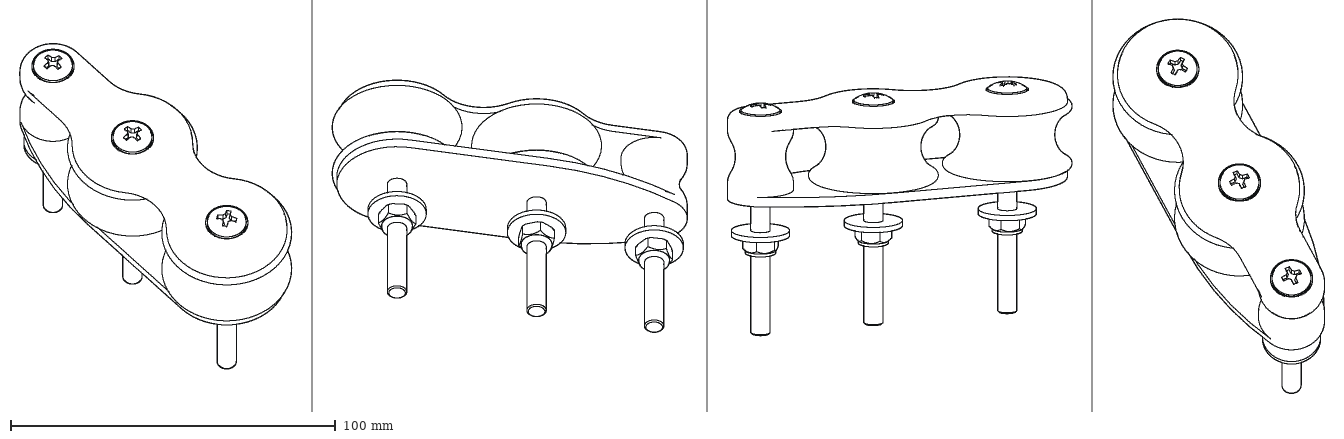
import cadquery as cq
import math

post_radius = 10.2
post_waist_radius = 7.8
roller_radius = 20.0
roller_waist_radius = 14.7
roller_pitch = 43.9
overall_length = 111.2
lobe_radius = 18.6

base_thickness = 3.0
roller_gap = 20.8
cover_thickness = 4.0
cover_fillet = 3.0

roller_clearance = 0.2
rim_radius = 1.1
post_curve_half_height = 8.3
screw_radius = 6.0 / 2
screw_end_z = -42.8
screw_end_chamfer = 0.5
head_radius = 12.0 / 2
head_edge_height = 0.7
head_edge_chamfer = 0.3
head_height = 2.3
head_recess_margin = 0.5
head_recess_depth = 0.6

cross_length = 6.2
cross_width = 1.6
cross_core_size = 3.1
cross_depth = 1.8
cross_wall_angle = 10

washer_radius = 18.0 / 2
washer_top_z = -10.0
washer_thickness = 1.7
nut_flats = 10.0
nut_hex_height = 4.7
nut_chamfer = 1.0
nut_lead_chamfer = 0.5
collar_radius = 9.5 / 2
collar_height = 1.0
collar_fillet = 0.3

roller_2_x = overall_length - post_radius - roller_radius
roller_1_x = roller_2_x - roller_pitch
cover_bottom_z = base_thickness + roller_gap
cover_top_z = cover_bottom_z + cover_thickness
mid_z = base_thickness + roller_gap / 2
nut_top_z = washer_top_z - washer_thickness

fasteners = [
    (0, 0, -1.7),
    (roller_1_x, 0, 30),
    (roller_2_x, 36, -9.5),
]


def make_base():
    """Bottom plate: a wide end tapering to the post through two long arcs."""
    side_radius = (roller_1_x**2 + lobe_radius**2 - post_radius**2) / (2 * (lobe_radius - post_radius))
    side_center_y = lobe_radius - side_radius
    center_distance = side_radius - post_radius
    touch_x = -post_radius * roller_1_x / center_distance
    touch_y = -post_radius * side_center_y / center_distance
    half_angle = math.asin((roller_1_x - touch_x) / side_radius) / 2
    arc_x = roller_1_x - side_radius * math.sin(half_angle)
    arc_y = side_center_y + side_radius * math.cos(half_angle)
    left_end_x = -post_radius
    right_end_x = roller_2_x + lobe_radius
    bevel = math.sqrt(0.5)
    left_angle = (math.pi + math.atan2(touch_y, touch_x)) / 2
    left_mid = (post_radius * math.cos(left_angle), post_radius * math.sin(left_angle))
    right_mid = (roller_2_x + lobe_radius * bevel, lobe_radius * bevel)
    half = (
        cq.Workplane("XY")
        .moveTo(left_end_x, 0)
        .threePointArc(left_mid, (touch_x, touch_y))
        .threePointArc((arc_x, arc_y), (roller_1_x, lobe_radius))
        .lineTo(roller_2_x, lobe_radius)
        .threePointArc(right_mid, (right_end_x, 0))
        .close()
        .extrude(base_thickness)
    )
    return half.union(half.mirror("XZ"))


def make_cover():
    """Top plate: round lobes over the rollers joined by tangent concave necks."""
    half_pitch = roller_pitch / 2
    neck_radius = (half_pitch**2 + post_radius**2 - lobe_radius**2) / (2 * (lobe_radius - post_radius))
    neck_center_y = post_radius + neck_radius
    lobe_share = lobe_radius / (lobe_radius + neck_radius)
    touch_dx = half_pitch * lobe_share
    touch_y = neck_center_y * lobe_share
    neck_start_x = roller_1_x - half_pitch
    neck_mid_x = roller_1_x + half_pitch
    half_angle = math.atan2(half_pitch, neck_center_y) / 2
    arc_x = neck_start_x + neck_radius * math.sin(half_angle)
    arc_y = neck_center_y - neck_radius * math.cos(half_angle)
    outline = (
        cq.Workplane("XY", origin=(0, 0, cover_bottom_z))
        .moveTo(0, post_radius)
        .lineTo(neck_start_x, post_radius)
        .threePointArc((arc_x, arc_y), (roller_1_x - touch_dx, touch_y))
        .threePointArc((roller_1_x, lobe_radius), (roller_1_x + touch_dx, touch_y))
        .threePointArc((neck_mid_x, post_radius), (roller_2_x - touch_dx, touch_y))
        .threePointArc((roller_2_x + lobe_radius, 0), (roller_2_x - touch_dx, -touch_y))
        .threePointArc((neck_mid_x, -post_radius), (roller_1_x + touch_dx, -touch_y))
        .threePointArc((roller_1_x, -lobe_radius), (roller_1_x - touch_dx, -touch_y))
        .threePointArc((arc_x, -arc_y), (neck_start_x, -post_radius))
        .lineTo(0, -post_radius)
        .threePointArc((-post_radius, 0), (0, post_radius))
        .close()
    )
    return outline.extrude(cover_thickness).faces(">Z").edges().fillet(cover_fillet)


def make_post():
    """Waisted post: convex shoulders flow tangentially into a concave waist."""
    shoulder_height = 3.0
    waist_height = post_curve_half_height - shoulder_height
    slope = 2 * math.atan((post_radius - post_waist_radius) / post_curve_half_height)
    shoulder_radius = shoulder_height / math.sin(slope)
    waist_radius = waist_height / math.sin(slope)
    joint_r = post_waist_radius + waist_radius * (1 - math.cos(slope))
    shoulder_mid_r = post_radius - shoulder_radius * (1 - math.cos(slope / 2))
    shoulder_mid_height = post_curve_half_height - shoulder_radius * math.sin(slope / 2)
    post = (
        cq.Workplane("XZ")
        .moveTo(0, base_thickness)
        .lineTo(post_radius, base_thickness)
        .lineTo(post_radius, mid_z - post_curve_half_height)
        .threePointArc((shoulder_mid_r, mid_z - shoulder_mid_height), (joint_r, mid_z - waist_height))
        .threePointArc((post_waist_radius, mid_z), (joint_r, mid_z + waist_height))
        .threePointArc(
            (shoulder_mid_r, mid_z + shoulder_mid_height),
            (post_radius, mid_z + post_curve_half_height),
        )
        .lineTo(post_radius, cover_bottom_z)
        .lineTo(0, cover_bottom_z)
        .close()
        .revolve(360, (0, 0), (0, 1))
    )
    return post.rotate((0, 0, 0), (0, 0, 1), 180)


def make_roller(x):
    """Grooved roller: rounded rims tangent to a circular groove."""
    rim_r = roller_radius - rim_radius
    half_height = roller_gap / 2 - roller_clearance
    rim_height = half_height - rim_radius
    reach = rim_r - roller_waist_radius
    groove_radius = (reach**2 + rim_height**2 - rim_radius**2) / (2 * (reach + rim_radius))
    groove_center_r = roller_waist_radius + groove_radius
    share = rim_radius / (rim_radius + groove_radius)
    touch_r = rim_r + (groove_center_r - rim_r) * share
    touch_height = rim_height * (1 - share)
    return (
        cq.Workplane("XZ")
        .moveTo(0, mid_z - half_height)
        .lineTo(rim_r, mid_z - half_height)
        .threePointArc((roller_radius, mid_z - rim_height), (touch_r, mid_z - touch_height))
        .threePointArc((roller_waist_radius, mid_z), (touch_r, mid_z + touch_height))
        .threePointArc((roller_radius, mid_z + rim_height), (rim_r, mid_z + half_height))
        .lineTo(0, mid_z + half_height)
        .close()
        .revolve(360, (0, 0), (0, 1))
        .translate((x, 0, 0))
    )


def make_head_recess(x):
    """Shallow round recess in the cover around a screw head."""
    return (
        cq.Workplane("XY", origin=(x, 0, cover_top_z))
        .circle(head_radius + head_recess_margin)
        .extrude(-head_recess_depth)
    )


def make_tapered_pocket(length, width, top_z, turn):
    """Rectangular block narrowing downward, one part of a cross recess."""
    return (
        cq.Workplane("XY", origin=(0, 0, top_z))
        .rect(length, width)
        .extrude(-cross_depth, taper=cross_wall_angle)
        .rotate((0, 0, 0), (0, 0, 1), turn)
    )


def make_screw(x, cross_turn):
    """Domed screw with a cross recess and a chamfered tip."""
    head_edge_z = cover_top_z + head_edge_height
    head_top_z = cover_top_z + head_height
    dome_height = head_height - head_edge_height
    dome_edge_r = head_radius - head_edge_chamfer
    dome_radius = (dome_edge_r**2 + dome_height**2) / (2 * dome_height)
    dome_mid_r = dome_edge_r / 2
    dome_mid_z = head_top_z - dome_radius + math.sqrt(dome_radius**2 - dome_mid_r**2)
    head_base_z = cover_top_z - head_recess_depth
    screw = (
        cq.Workplane("XZ")
        .moveTo(0, screw_end_z)
        .lineTo(screw_radius - screw_end_chamfer, screw_end_z)
        .lineTo(screw_radius, screw_end_z + screw_end_chamfer)
        .lineTo(screw_radius, head_base_z)
        .lineTo(head_radius, head_base_z)
        .lineTo(head_radius, head_edge_z - head_edge_chamfer)
        .lineTo(dome_edge_r, head_edge_z)
        .threePointArc((dome_mid_r, dome_mid_z), (0, head_top_z))
        .close()
        .revolve(360, (0, 0), (0, 1))
    )
    cross = (
        make_tapered_pocket(cross_length, cross_width, head_top_z, cross_turn)
        .union(make_tapered_pocket(cross_length, cross_width, head_top_z, cross_turn + 90))
        .union(make_tapered_pocket(cross_core_size, cross_core_size, head_top_z, cross_turn + 45))
    )
    return screw.cut(cross).translate((x, 0, 0))


def make_washer_and_nut(x, nut_turn):
    """Flat washer with a collared hexagon nut below it."""
    corner_radius = nut_flats / math.sqrt(3)
    hex_bottom_z = nut_top_z - nut_hex_height
    washer = cq.Workplane("XY", origin=(0, 0, nut_top_z)).circle(washer_radius).extrude(washer_thickness)
    turned_blank = (
        cq.Workplane("XY", origin=(0, 0, hex_bottom_z))
        .circle(corner_radius)
        .extrude(nut_hex_height)
        .faces("<Z").chamfer(nut_chamfer)
        .faces(">Z").chamfer(nut_lead_chamfer)
    )
    hexagon = (
        cq.Workplane("XY", origin=(0, 0, hex_bottom_z))
        .polygon(6, 2 * corner_radius)
        .extrude(nut_hex_height)
        .rotate((0, 0, 0), (0, 0, 1), nut_turn)
        .intersect(turned_blank)
    )
    collar = (
        cq.Workplane("XY", origin=(0, 0, hex_bottom_z))
        .circle(collar_radius)
        .extrude(-collar_height)
        .faces("<Z").edges().fillet(collar_fillet)
    )
    return washer.union(hexagon).union(collar).translate((x, 0, 0))


result = make_base().union(make_post()).union(make_cover())
for roller_x in (roller_1_x, roller_2_x):
    result = result.union(make_roller(roller_x))
for fastener_x, cross_angle, nut_angle in fasteners:
    result = result.cut(make_head_recess(fastener_x))
    result = result.union(make_screw(fastener_x, cross_angle))
    result = result.union(make_washer_and_nut(fastener_x, nut_angle))
result = result.clean()